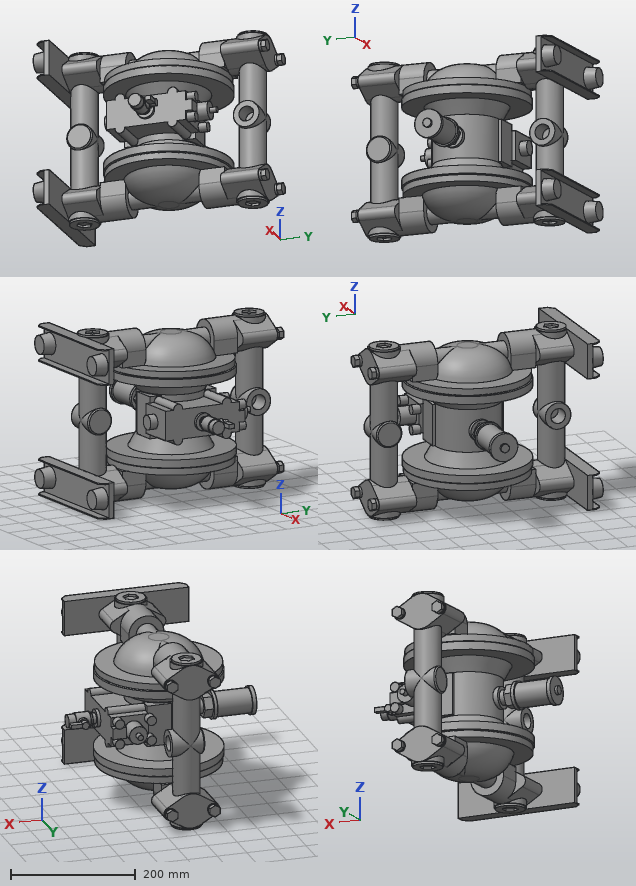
import cadquery as cq
import math


overall_depth = 377.8
overall_height = 286.0
foot_tip = 194.5

drum_diameter = 111.5
drum_radius = drum_diameter / 2
drum_half_height = 36.0
cone_radius = 69.0
flange_bottom = 59.7
flange_radius = 105.0
groove_bottom = 73.0
groove_top = 74.5
groove_radius = 99.7
cover_radius = 103.0
cover_top = 85.5

dome_radius = 72.0
dome_top = 127.0
dome_flat_radius = 16.5

manifold_height = 110.5
port_pipe_radius = 17.5
port_boss_radius = 29.5
port_boss_inner_end = 63.0
port_boss_outer_end = 106.5

ear_radius = 11.0
ear_offset = 36.0
block_rear_end = 171.0
web_back = 165.5

column_spacing = 289.0
column_offset = column_spacing / 2
column_diameter = 44.2
column_radius = column_diameter / 2
tube_open_end = 30.5
tube_plug_end = 24.5
tube_plug_chamfer = 2.3
tube_bore_radius = 12.5

plug_top = overall_height / 2
plug_head_height = 3.5
plug_head_radius = 24.0
plug_body_radius = 26.5
hex_socket_flats = 22.3
hex_socket_depth = 3.8

bolt_end = overall_depth - foot_tip
bolt_head_height = 8.5
bolt_head_flats = 17.5
bolt_washer_radius = 9.0

channel_length = 210.0
channel_web = 9.0
channel_depth = 24.5
channel_wall = 2.0
channel_corner = 9.5
foot_spacing = 170.0
foot_base_radius = 18.0
foot_tip_radius = 15.5

fitting_overlap = 5.5

muffler_steps = [
    (-163.0, -158.3, 7.0),
    (-158.3, -151.5, 23.5),
    (-151.5, -92.5, 20.8),
    (-92.5, -87.0, 23.5),
    (-87.0, -61.2, 12.5),
    (-61.2, -drum_radius + fitting_overlap, 18.5),
]
muffler_hex_start = -87.0
muffler_hex_end = -72.0
muffler_hex_flats = 34.8

valve_base_left = -2.0
valve_base_right = 39.3
valve_base_end = 61.2
valve_base_half_height = 34.8
valve_right = 102.5
valve_end = 68.0
valve_half_height = 24.5
rib_radius = 8.5
rib_y = 45.0
rib_z = 25.5
pilot_x = 65.0
front_nub_end = 81.2
front_nub_radius = 12.0
pilot_radius = 15.0
pilot_end = 96.0
pin_radius = 4.5
pin_end = 107.5
screw_radius = 8.0
screw_end = 82.5
screw_dx = 27.0
screw_z = 17.0
lug_left = 79.5
lug_end = 78.5
lug_half_height = 9.5

inlet_steps = [
    (valve_right - fitting_overlap, 107.5, 14.7),
    (107.5, 113.7, 9.0),
    (113.7, 117.5, 11.0),
    (117.5, 142.0, 12.5),
    (142.0, 154.5, 11.0),
]
stem_x = 132.0
stem_steps = [
    (0.0, 13.0, 4.0),
    (13.0, 19.0, 8.5),
    (19.0, 28.7, 6.0),
]
lever_tip = 156.5
lever_top = 28.5
lever_tip_bottom = 18.5
lever_root_bottom = 16.5
lever_thickness = 7.0


def round_x(start, end, radius, y=0.0, z=0.0):
    """Cylinder along X."""
    return cq.Workplane("YZ", origin=(start, y, z)).circle(radius).extrude(end - start)


def round_y(start, end, radius, x=0.0, z=0.0):
    """Cylinder along Y."""
    return cq.Workplane("XZ", origin=(x, start, z)).circle(radius).extrude(start - end)


def round_z(start, end, radius, y=0.0):
    """Cylinder along Z."""
    return cq.Workplane("XY", origin=(0, y, start)).circle(radius).extrude(end - start)


def box_between(x_range, y_range, z_range):
    """Box spanning the three given ranges."""
    sizes = [high - low for low, high in (x_range, y_range, z_range)]
    corner = (x_range[0], y_range[0], z_range[0])
    return cq.Workplane("XY").box(*sizes, centered=False).translate(corner)


def hexagon(workplane, flats):
    """Hexagon with two vertices on the local Y axis."""
    corner_diameter = flats / math.cos(math.pi / 6)
    return workplane.transformed(rotate=(0, 0, 90)).polygon(6, corner_diameter)


def chamber():
    """One half of the centre body: half drum, cone, flanges and dome, turned about Z."""
    profile = (
        cq.Workplane("XZ")
        .moveTo(0, 0)
        .lineTo(0, dome_top)
        .lineTo(dome_flat_radius, dome_top)
        .tangentArcPoint((dome_radius, cover_top), relative=False)
        .lineTo(cover_radius, cover_top)
        .lineTo(cover_radius, groove_top)
        .lineTo(groove_radius, groove_top)
        .lineTo(groove_radius, groove_bottom)
        .lineTo(flange_radius, groove_bottom)
        .lineTo(flange_radius, flange_bottom)
        .lineTo(cone_radius, flange_bottom)
        .lineTo(drum_radius, drum_half_height)
        .lineTo(drum_radius, 0)
        .close()
    )
    return profile.revolve(360, (0, 0, 0), (0, -1, 0))


def port(side):
    """Chamber port with its arched boss on the given Y side (-1 or +1)."""
    inner = side * port_boss_inner_end
    outer = side * port_boss_outer_end
    pipe_height = dome_top - port_pipe_radius
    pipe = round_y(0, outer, port_pipe_radius, z=pipe_height)
    arch_center = manifold_height - cover_top
    boss = (
        cq.Workplane("XZ", origin=(0, inner, cover_top))
        .moveTo(-port_boss_radius, 0)
        .lineTo(-port_boss_radius, arch_center)
        .threePointArc((0, arch_center + port_boss_radius), (port_boss_radius, arch_center))
        .lineTo(port_boss_radius, 0)
        .close()
        .extrude(inner - outer)
    )
    return pipe.union(boss)


def end_block(start, end):
    """Manifold end block: round body with two ears joined by tangent flanks."""
    lean = math.acos((port_boss_radius - ear_radius) / ear_offset)
    flank_x = math.cos(lean)
    flank_z = math.sin(lean)
    body_x, body_z = port_boss_radius * flank_x, port_boss_radius * flank_z
    ear_x, ear_z = ear_offset + ear_radius * flank_x, ear_radius * flank_z
    tip_x = ear_offset + ear_radius
    outline = (
        cq.Workplane("XZ", origin=(0, start, manifold_height))
        .moveTo(-body_x, body_z)
        .threePointArc((0, port_boss_radius), (body_x, body_z))
        .lineTo(ear_x, ear_z)
        .threePointArc((tip_x, 0), (ear_x, -ear_z))
        .lineTo(body_x, -body_z)
        .threePointArc((0, -port_boss_radius), (-body_x, -body_z))
        .lineTo(-ear_x, -ear_z)
        .threePointArc((-tip_x, 0), (-ear_x, ear_z))
        .close()
    )
    return outline.extrude(start - end)


def block_plug(y):
    """Plug rising out of the top of an end block, with a narrower head."""
    head_bottom = plug_top - plug_head_height
    body = round_z(manifold_height, head_bottom, plug_body_radius, y)
    return body.union(round_z(head_bottom, plug_top, plug_head_radius, y))


def plug_socket(y):
    """Hexagon socket sunk into a plug and the block below it."""
    socket_plane = cq.Workplane("XY", origin=(0, y, plug_top))
    return hexagon(socket_plane, hex_socket_flats).extrude(-hex_socket_depth)


def block_bolt(x):
    """Hexagon bolt and washer on the rear end block."""
    head_start = bolt_end - bolt_head_height
    washer = round_y(block_rear_end, head_start, bolt_washer_radius, x, manifold_height)
    head_plane = cq.Workplane("XZ", origin=(x, head_start, manifold_height))
    return washer.union(hexagon(head_plane, bolt_head_flats).extrude(-bolt_head_height))


def foot_channel():
    """Channel across the front end block, open to -Y, with two tapered rubber feet."""
    half_length = channel_length / 2
    outer_face = -web_back - channel_depth
    web_face = -web_back - channel_web
    bottom = manifold_height - port_boss_radius
    top = manifold_height + port_boss_radius
    channel = box_between((-half_length, half_length), (outer_face, -web_back), (bottom, top))
    channel = channel.faces("<Y").edges("|Z").chamfer(channel_corner)
    trough = box_between(
        (-channel_length, channel_length),
        (outer_face, web_face),
        (bottom + channel_wall, top - channel_wall),
    )
    channel = channel.cut(trough)
    foot_length = foot_tip + web_face
    for x in (-foot_spacing / 2, foot_spacing / 2):
        foot = (
            cq.Workplane("XZ", origin=(x, web_face, manifold_height))
            .circle(foot_base_radius)
            .workplane(offset=foot_length)
            .circle(foot_tip_radius)
            .loft()
        )
        channel = channel.union(foot)
    return channel


def upper_half():
    """Everything that repeats mirrored about Z = 0."""
    half = chamber().union(port(-1)).union(port(1))
    half = half.union(end_block(-web_back, -port_boss_outer_end))
    half = half.union(end_block(port_boss_outer_end, block_rear_end))
    for y in (-column_offset, column_offset):
        half = half.union(round_z(0, manifold_height, column_radius, y))
        half = half.union(block_plug(y)).cut(plug_socket(y))
    for x in (-ear_offset, ear_offset):
        half = half.union(block_bolt(x))
    return half.union(foot_channel())


def cross_tube():
    """Cross tube of the front manifold: plugged at +X."""
    tube = round_x(-tube_open_end, tube_plug_end, column_radius, -column_offset)
    return tube.faces(">X").edges().chamfer(tube_plug_chamfer)


def cross_bore():
    """Bore from the open end of the front cross tube to the column axis."""
    return round_x(-tube_open_end, 0, tube_bore_radius, -column_offset)


def stepped_x(steps):
    """Row of coaxial cylinders along X."""
    shape = round_x(*steps[0])
    for step in steps[1:]:
        shape = shape.union(round_x(*step))
    return shape


def muffler():
    """Stepped muffler with a hexagon nut at its inner end."""
    hex_plane = cq.Workplane("YZ", origin=(muffler_hex_start, 0, 0)).transformed(rotate=(0, 0, 90))
    nut = hexagon(hex_plane, muffler_hex_flats).extrude(muffler_hex_end - muffler_hex_start)
    return stepped_x(muffler_steps).union(nut)


def air_valve():
    """Valve block with ribs, front nub and the pilot cap on its rear side."""
    valve = box_between(
        (valve_base_left, valve_base_right),
        (-valve_base_end, valve_base_end),
        (-valve_base_half_height, valve_base_half_height),
    )
    valve = valve.union(
        box_between(
            (valve_base_right, valve_right),
            (-valve_end, valve_end),
            (-valve_half_height, valve_half_height),
        )
    )
    for y in (-rib_y, rib_y):
        for z in (-rib_z, rib_z):
            valve = valve.union(round_x(valve_base_right, valve_right, rib_radius, y, z))
    valve = valve.union(round_y(-front_nub_end, -valve_end, front_nub_radius, pilot_x))
    valve = valve.union(round_y(valve_end, pilot_end, pilot_radius, pilot_x))
    valve = valve.union(round_y(pilot_end, pin_end, pin_radius, pilot_x))
    for x in (pilot_x - screw_dx, pilot_x + screw_dx):
        for z in (-screw_z, screw_z):
            valve = valve.union(round_y(valve_end, screw_end, screw_radius, x, z))
    lug = box_between(
        (lug_left, valve_right),
        (valve_end, lug_end),
        (-lug_half_height, lug_half_height),
    )
    return valve.union(lug)


def ball_valve():
    """Inlet ball valve with its stem and lever."""
    valve = stepped_x(inlet_steps)
    for start, end, radius in stem_steps:
        valve = valve.union(round_y(start, end, radius, stem_x))
    lever = (
        cq.Workplane("XY", origin=(0, 0, -lever_thickness / 2))
        .moveTo(stem_x, lever_top)
        .lineTo(lever_tip, lever_top)
        .lineTo(lever_tip, lever_tip_bottom)
        .lineTo(stem_x, lever_root_bottom)
        .close()
        .extrude(lever_thickness)
    )
    return valve.union(lever)


upper = upper_half()
pump = upper.union(upper.mirror("XY"))

for turn in (0, 180):
    tube = cross_tube().rotate((0, 0, 0), (0, 0, 1), turn)
    bore = cross_bore().rotate((0, 0, 0), (0, 0, 1), turn)
    pump = pump.union(tube).cut(bore)

result = pump.union(muffler()).union(air_valve()).union(ball_valve())